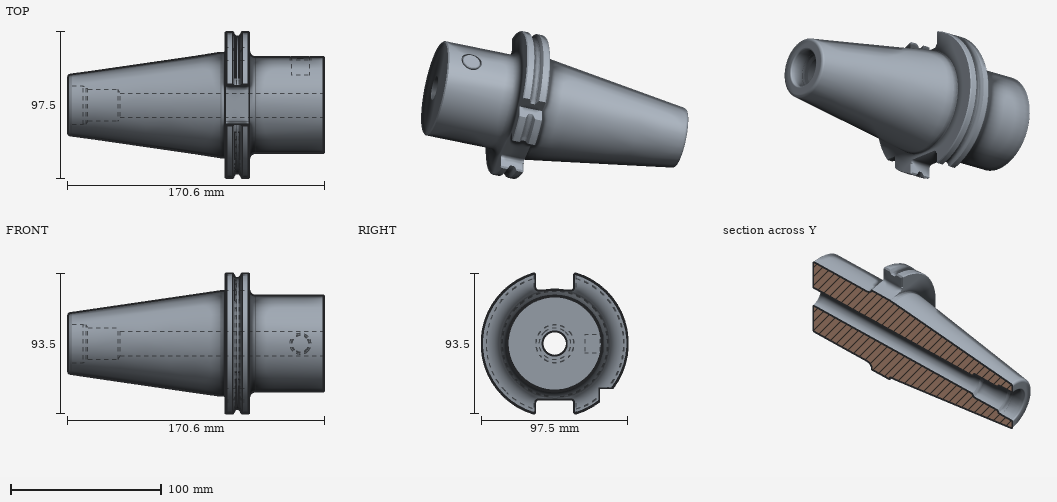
import cadquery as cq
import math

OVERALL_LENGTH = 170.6

GAUGE_DIAMETER = 69.85
GAUGE_RADIUS = GAUGE_DIAMETER / 2
TAPER_RATIO = 7 / 24
TAPER_LENGTH = 101.6
SMALL_END_RADIUS = GAUGE_RADIUS - TAPER_RATIO * TAPER_LENGTH / 2
SMALL_END_ROUND = 2.0
TAIL_X = -TAPER_LENGTH

FLANGE_RADIUS = 97.5 / 2
FLANGE_FRONT_X = 3.175
FLANGE_WIDTH = 15.875
FLANGE_REAR_X = FLANGE_FRONT_X + FLANGE_WIDTH
RIM_CHAMFER_LENGTH = 0.8
RIM_CHAMFER_DEPTH = 0.5
COLLAR_ROUND = 0.5

GROOVE_CENTRE_X = FLANGE_FRONT_X + FLANGE_WIDTH / 2
GROOVE_MOUTH = 6.4
GROOVE_DEPTH = 3.1
GROOVE_WALL_ANGLE = math.radians(30)
GROOVE_ROUND = 0.9

SLOT_WIDTH = 25.7
TOP_SLOT_FLOOR = 35.3
BOTTOM_SLOT_FLOOR = 37.3
SLOT_FLOOR_ROUND = 2.0
SLOT_EDGE_CHAMFER = 1.0
NOTCH_SIDE_Y = 29.7
NOTCH_ROOF_Z = -29.9

NOSE_RADIUS = 64 / 2
NOSE_END_X = OVERALL_LENGTH - TAPER_LENGTH
NOSE_ROUND = 4.0
NOSE_CHAMFER = 0.8

MOUTH_BORE_RADIUS = 25.45 / 2
MOUTH_BORE_DEPTH = 9.8
BORE_MOUTH_ROUND = 1.0
SEAT_RADIUS = 25 / 2
SEAT_LENGTH = 2.0
STEP_RADIUS = 21 / 2
STEP_LENGTH = 20.0
THROUGH_RADIUS = 16 / 2
BORE_CONE_ANGLE = math.radians(59)

SCREW_X = 52.8
SCREW_RADIUS = 12 / 2
SCREW_CHAMFER = 0.5
SCREW_TOP_Y = NOSE_RADIUS
SCREW_LENGTH = 12.0
RECESS_RADIUS = 14 / 2
RECESS_FLOOR_Y = NOSE_RADIUS - 2.0


def revolve_about_x(profile):
    """Turn a closed half profile, drawn as X against radius, about the X axis."""
    return profile.revolve(360, (0, 0, 0), (1, 0, 0))


def make_shank():
    """Steep taper with a rounded small end and a short gauge collar up to the flange."""
    return revolve_about_x(
        cq.Workplane("XZ")
        .moveTo(TAIL_X, 0)
        .lineTo(TAIL_X, SMALL_END_RADIUS)
        .lineTo(0, GAUGE_RADIUS)
        .lineTo(FLANGE_FRONT_X, GAUGE_RADIUS)
        .lineTo(FLANGE_FRONT_X, 0)
        .close()
    ).faces("<X").edges().fillet(SMALL_END_ROUND)


def make_collar_round():
    """Small concave round where the gauge collar meets the flange."""
    base = GAUGE_RADIUS + COLLAR_ROUND
    return revolve_about_x(
        cq.Workplane("XZ")
        .moveTo(FLANGE_FRONT_X, 0)
        .lineTo(FLANGE_FRONT_X, base)
        .radiusArc((FLANGE_FRONT_X - COLLAR_ROUND, GAUGE_RADIUS), COLLAR_ROUND)
        .lineTo(FLANGE_FRONT_X - COLLAR_ROUND, 0)
        .close()
    )


def make_nose():
    """Cylinder behind the flange, blended into it and chamfered at its free end."""
    start_of_cylinder = FLANGE_REAR_X + NOSE_ROUND
    return revolve_about_x(
        cq.Workplane("XZ")
        .moveTo(FLANGE_REAR_X, 0)
        .lineTo(FLANGE_REAR_X, NOSE_RADIUS + NOSE_ROUND)
        .radiusArc((start_of_cylinder, NOSE_RADIUS), -NOSE_ROUND)
        .lineTo(NOSE_END_X - NOSE_CHAMFER, NOSE_RADIUS)
        .lineTo(NOSE_END_X, NOSE_RADIUS - NOSE_CHAMFER)
        .lineTo(NOSE_END_X, 0)
        .close()
    )


def flange_box(y_min, y_max, z_min, z_max):
    """A box as thick as the flange."""
    return cq.Workplane("XY").box(
        FLANGE_WIDTH, y_max - y_min, z_max - z_min, centered=False
    ).translate((FLANGE_FRONT_X, y_min, z_min))


def make_slot(floor, side):
    """Drive slot cutter on the +Z (side = 1) or -Z (side = -1) side, with broken edges."""
    half = SLOT_WIDTH / 2
    flare = half + SLOT_EDGE_CHAMFER
    slot = flange_box(-half, half, floor, FLANGE_RADIUS)
    slot = slot.faces("<Z").edges("|X").fillet(SLOT_FLOOR_ROUND)

    front_flare = (
        cq.Workplane("XY", origin=(0, 0, floor + SLOT_FLOOR_ROUND))
        .moveTo(FLANGE_FRONT_X, -flare)
        .lineTo(FLANGE_FRONT_X, flare)
        .lineTo(FLANGE_FRONT_X + SLOT_EDGE_CHAMFER, half)
        .lineTo(FLANGE_FRONT_X + SLOT_EDGE_CHAMFER, -half)
        .close()
        .extrude(FLANGE_RADIUS - floor)
    )

    rim_z = math.sqrt(FLANGE_RADIUS**2 - flare**2)
    rise = FLANGE_RADIUS - rim_z
    rim_flare = (
        cq.Workplane("YZ", origin=(FLANGE_FRONT_X, 0, 0))
        .moveTo(-half, rim_z - SLOT_EDGE_CHAMFER)
        .lineTo(half, rim_z - SLOT_EDGE_CHAMFER)
        .lineTo(flare + rise, rim_z + rise)
        .lineTo(-flare - rise, rim_z + rise)
        .close()
        .extrude(FLANGE_WIDTH)
    )
    slot = slot.union(front_flare).union(rim_flare)
    if side < 0:
        slot = slot.mirror("XY")
    return slot


def make_flange():
    """Gripper flange with two drive slots and a corner notch through its full thickness."""
    notch = flange_box(NOTCH_SIDE_Y, FLANGE_RADIUS, -FLANGE_RADIUS, NOTCH_ROOF_Z)
    return (
        make_flange_envelope()
        .cut(make_slot(TOP_SLOT_FLOOR, 1))
        .cut(make_slot(BOTTOM_SLOT_FLOOR, -1))
        .cut(notch)
    )


def make_flange_envelope():
    """Turned outline of the flange: chamfered rims and the V groove with its rounded floor."""
    floor_radius = FLANGE_RADIUS - GROOVE_DEPTH
    half_mouth = GROOVE_MOUTH / 2
    half_floor = half_mouth - GROOVE_DEPTH * math.tan(GROOVE_WALL_ANGLE)
    round_reach = GROOVE_ROUND * math.tan((math.pi / 2 - GROOVE_WALL_ANGLE) / 2)
    wall_dx = round_reach * math.sin(GROOVE_WALL_ANGLE)
    wall_dr = round_reach * math.cos(GROOVE_WALL_ANGLE)
    rim_radius = FLANGE_RADIUS - RIM_CHAMFER_DEPTH
    return revolve_about_x(
        cq.Workplane("XZ")
        .moveTo(FLANGE_FRONT_X, 0)
        .lineTo(FLANGE_FRONT_X, rim_radius)
        .lineTo(FLANGE_FRONT_X + RIM_CHAMFER_LENGTH, FLANGE_RADIUS)
        .lineTo(GROOVE_CENTRE_X - half_mouth, FLANGE_RADIUS)
        .lineTo(GROOVE_CENTRE_X - half_floor - wall_dx, floor_radius + wall_dr)
        .radiusArc((GROOVE_CENTRE_X - half_floor + round_reach, floor_radius), -GROOVE_ROUND)
        .lineTo(GROOVE_CENTRE_X + half_floor - round_reach, floor_radius)
        .radiusArc((GROOVE_CENTRE_X + half_floor + wall_dx, floor_radius + wall_dr), -GROOVE_ROUND)
        .lineTo(GROOVE_CENTRE_X + half_mouth, FLANGE_RADIUS)
        .lineTo(FLANGE_REAR_X - RIM_CHAMFER_LENGTH, FLANGE_RADIUS)
        .lineTo(FLANGE_REAR_X, rim_radius)
        .lineTo(FLANGE_REAR_X, 0)
        .close()
    )


def make_bore():
    """Cutter for the rounded mouth, the narrower seat, the step and the through hole."""
    mouth_end_x = TAIL_X + MOUTH_BORE_DEPTH
    seat_end_x = mouth_end_x + SEAT_LENGTH
    step_start_x = seat_end_x + (SEAT_RADIUS - STEP_RADIUS) / math.tan(BORE_CONE_ANGLE)
    step_end_x = step_start_x + STEP_LENGTH
    through_start_x = step_end_x + (STEP_RADIUS - THROUGH_RADIUS) / math.tan(BORE_CONE_ANGLE)
    return revolve_about_x(
        cq.Workplane("XZ")
        .moveTo(TAIL_X, 0)
        .lineTo(TAIL_X, MOUTH_BORE_RADIUS + BORE_MOUTH_ROUND)
        .radiusArc((TAIL_X + BORE_MOUTH_ROUND, MOUTH_BORE_RADIUS), -BORE_MOUTH_ROUND)
        .lineTo(mouth_end_x, MOUTH_BORE_RADIUS)
        .lineTo(mouth_end_x, SEAT_RADIUS)
        .lineTo(seat_end_x, SEAT_RADIUS)
        .lineTo(step_start_x, STEP_RADIUS)
        .lineTo(step_end_x, STEP_RADIUS)
        .lineTo(through_start_x, THROUGH_RADIUS)
        .lineTo(NOSE_END_X, THROUGH_RADIUS)
        .lineTo(NOSE_END_X, 0)
        .close()
    )


def make_rod(radius, inner_y, outer_y):
    """Round rod on the screw axis, which runs along Y."""
    return cq.Workplane("XZ", origin=(SCREW_X, outer_y, 0)).circle(radius).extrude(outer_y - inner_y)


def make_holder():
    body = make_shank().union(make_collar_round()).union(make_flange()).union(make_nose())
    recess = make_rod(RECESS_RADIUS, RECESS_FLOOR_Y, NOSE_RADIUS)
    screw_hole = make_rod(SCREW_RADIUS, SCREW_TOP_Y - SCREW_LENGTH, RECESS_FLOOR_Y)
    return body.cut(make_bore()).cut(recess).cut(screw_hole)


def make_screw():
    rod = make_rod(SCREW_RADIUS, SCREW_TOP_Y - SCREW_LENGTH, SCREW_TOP_Y)
    return rod.faces(">Y").chamfer(SCREW_CHAMFER)


holder = make_holder()
screw = make_screw()

result = cq.Compound.makeCompound([holder.val(), screw.val()])